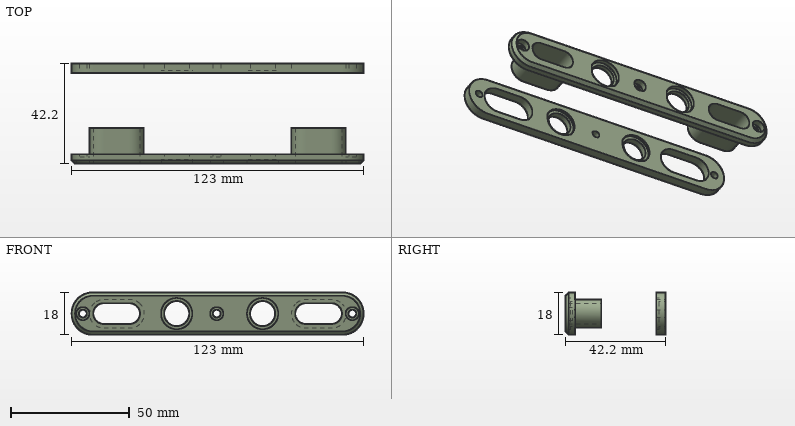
import cadquery as cq

plate_length = 123.0
plate_height = 18.0
plate_thickness = 4.0
overall_depth = 42.2
front_face_y = -overall_depth / 2
rear_plate_y = overall_depth / 2 - plate_thickness
front_edge_chamfer = 1.5

slot_spacing = 85.0
slot_straight = 11.0
slot_height = 8.6
boss_height = 12.0
boss_depth = 11.1
rear_slot_height = 12.0

window_spacing = 36.2
window_pair_center = 0.9
window_diameter = 10.5
window_recess_diameter = 13.2
front_recess_depth = 2.0
rear_recess_depth = 1.1

screw_offset = 56.7
middle_screw_x = -0.4
screw_diameter = 3.2
screw_head_diameter = 5.5
screw_head_depth = 3.0

slot_places = [(side * slot_spacing / 2, 0) for side in (-1, 1)]
window_places = [(window_pair_center + side * window_spacing / 2, 0) for side in (-1, 1)]
screw_places = [(-screw_offset, 0), (middle_screw_x, 0), (screw_offset, 0)]


def plane_at(y):
    """XZ sketch plane at depth y, with extrusion toward +Y."""
    return cq.Workplane(cq.Plane(origin=(0, y, 0), xDir=(1, 0, 0), normal=(0, 1, 0)))


def stadiums(y, places, length, height, depth):
    return plane_at(y).pushPoints(places).slot2D(length, height).extrude(depth)


def cylinders(y, places, diameter, depth):
    return plane_at(y).pushPoints(places).circle(diameter / 2).extrude(depth)


def cut_windows(plate, y, recess_depth):
    """Cut the round windows and their shallow recesses in the -Y face."""
    plate = plate.cut(cylinders(y, window_places, window_diameter, plate_thickness))
    return plate.cut(cylinders(y, window_places, window_recess_diameter, recess_depth))


def make_front_plate():
    y = front_face_y
    plate = stadiums(y, [(0, 0)], plate_length, plate_height, plate_thickness)
    plate = plate.faces("<Y").chamfer(front_edge_chamfer)

    boss_length = slot_straight + boss_height
    boss_start = y + plate_thickness
    plate = plate.union(stadiums(boss_start, slot_places, boss_length, boss_height, boss_depth))

    slot_length = slot_straight + slot_height
    plate = plate.cut(
        stadiums(y, slot_places, slot_length, slot_height, plate_thickness + boss_depth)
    )
    plate = cut_windows(plate, y, front_recess_depth)
    plate = plate.cut(cylinders(y, screw_places, screw_diameter, plate_thickness))
    return plate.cut(cylinders(y, screw_places, screw_head_diameter, screw_head_depth))


def make_rear_plate():
    y = rear_plate_y
    plate = stadiums(y, [(0, 0)], plate_length, plate_height, plate_thickness)
    slot_length = slot_straight + rear_slot_height
    plate = plate.cut(stadiums(y, slot_places, slot_length, rear_slot_height, plate_thickness))
    plate = cut_windows(plate, y, rear_recess_depth)
    return plate.cut(cylinders(y, screw_places, screw_diameter, plate_thickness))


front_plate = make_front_plate()
rear_plate = make_rear_plate()

result = cq.Compound.makeCompound([front_plate.val(), rear_plate.val()])